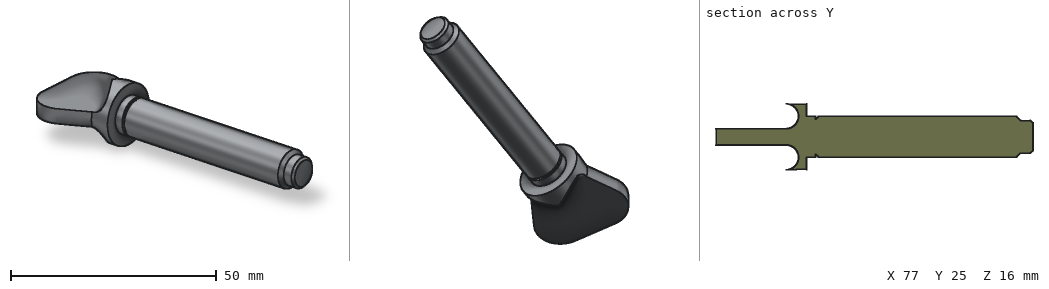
import cadquery as cq
import math

total_length = 77.0

head_radius = 12.5
head_corner_radius = 6.5
neck_x = 17.0

collar_radius = 8.0
collar_end_x = 22.0
shank_radius = 5.0
relief_x = 24.2
relief_depth = 0.7

tip_radius = 4.0
tip_length = 4.0
tip_chamfer = 0.6

paddle_thickness = 4.0
half_thickness = paddle_thickness / 2
channel_radius = (collar_radius - half_thickness) / 2
channel_center_z = half_thickness + channel_radius


def turned_body():
    """Revolve the complete profile about the X axis."""
    corner_x = head_corner_radius
    corner_y = head_radius - head_corner_radius

    run = neck_x - corner_x
    rise = collar_radius - corner_y
    tangent_angle = math.atan2(rise, run) + math.acos(head_corner_radius / math.hypot(run, rise))
    middle_angle = (math.pi + tangent_angle) / 2

    def corner_point(angle):
        return (
            corner_x + head_corner_radius * math.cos(angle),
            corner_y + head_corner_radius * math.sin(angle),
        )

    shoulder_x = total_length - tip_length
    shoulder_chamfer = shank_radius - tip_radius
    return (
        cq.Workplane("XY")
        .moveTo(0, 0)
        .lineTo(0, corner_y)
        .threePointArc(corner_point(middle_angle), corner_point(tangent_angle))
        .lineTo(neck_x, collar_radius)
        .lineTo(collar_end_x, collar_radius)
        .lineTo(collar_end_x, shank_radius)
        .lineTo(relief_x, shank_radius)
        .lineTo(relief_x, shank_radius - relief_depth)
        .lineTo(relief_x + relief_depth, shank_radius)
        .lineTo(shoulder_x, shank_radius)
        .lineTo(shoulder_x + shoulder_chamfer, tip_radius)
        .lineTo(total_length - tip_chamfer, tip_radius)
        .lineTo(total_length, tip_radius - tip_chamfer)
        .lineTo(total_length, 0)
        .close()
        .revolve(360, (0, 0, 0), (1, 0, 0))
    )


def paddle_relief(side):
    """Material removed above (side = 1) or below (side = -1) the paddle."""
    slab_height = head_radius - half_thickness
    slab = cq.Workplane("XY").box(neck_x, 2 * head_radius, slab_height, centered=(False, True, True))
    slab = slab.translate((0, 0, side * (half_thickness + slab_height / 2)))
    channel = (
        cq.Workplane("XZ")
        .center(neck_x, side * channel_center_z)
        .circle(channel_radius)
        .extrude(head_radius, both=True)
    )
    return slab.union(channel)


result = turned_body()
for side in (1, -1):
    result = result.cut(paddle_relief(side))